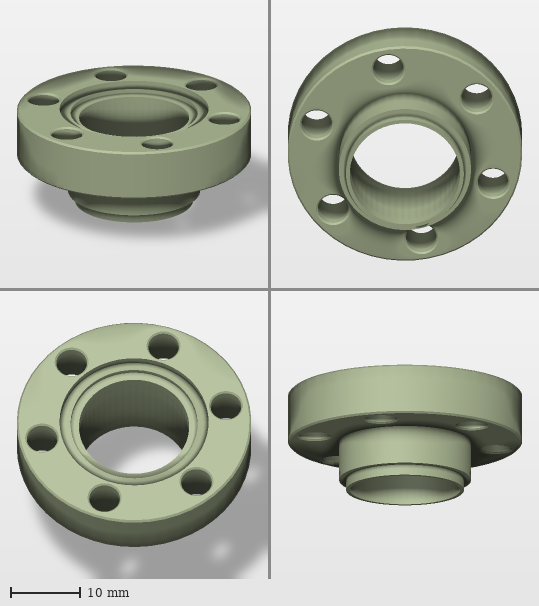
import cadquery as cq

flange_diameter = 33.78
flange_thickness = 7.23
rim_chamfer = 0.27

neck_diameter = 19.05
neck_length = 5.47
tip_diameter = 17.0
tip_length = 1.52
bore_diameter = 15.88

recess_diameter = 21.5
recess_depth = 1.25
knife_diameter = 18.3
knife_depth = 0.65
land_depth = 1.35

bolt_count = 6
bolt_circle_diameter = 27.02
bolt_hole_diameter = 4.43
bolt_chamfer = 0.25

neck_bottom = tip_length
flange_bottom = neck_bottom + neck_length
flange_top = flange_bottom + flange_thickness


def make_body():
    """Revolve the half section of flange, stub, bore and sealing recess."""
    flange_radius = flange_diameter / 2
    section = [
        (bore_diameter / 2, 0),
        (tip_diameter / 2, 0),
        (tip_diameter / 2, neck_bottom),
        (neck_diameter / 2, neck_bottom),
        (neck_diameter / 2, flange_bottom),
        (flange_radius - rim_chamfer, flange_bottom),
        (flange_radius, flange_bottom + rim_chamfer),
        (flange_radius, flange_top - rim_chamfer),
        (flange_radius - rim_chamfer, flange_top),
        (recess_diameter / 2, flange_top),
        (recess_diameter / 2, flange_top - recess_depth),
        (knife_diameter / 2, flange_top - knife_depth),
        (knife_diameter / 2, flange_top - land_depth),
        (bore_diameter / 2, flange_top - land_depth),
    ]
    return cq.Workplane("XZ").polyline(section).close().revolve(360, (0, 0), (0, 1))


def cut_bolt_holes(body):
    """Drill the bolt circle and chamfer both hole mouths."""
    hole_radius = bolt_hole_diameter / 2
    mouth_radius = hole_radius + bolt_chamfer
    cutter_section = [
        (0, flange_bottom),
        (mouth_radius, flange_bottom),
        (hole_radius, flange_bottom + bolt_chamfer),
        (hole_radius, flange_top - bolt_chamfer),
        (mouth_radius, flange_top),
        (0, flange_top),
    ]
    cutter = cq.Workplane("XZ").polyline(cutter_section).close().revolve(360, (0, 0), (0, 1))
    first_cutter = cutter.translate((0, bolt_circle_diameter / 2, 0))
    for index in range(bolt_count):
        angle = index * 360 / bolt_count
        body = body.cut(first_cutter.rotate((0, 0, 0), (0, 0, 1), angle))
    return body


result = cut_bolt_holes(make_body())